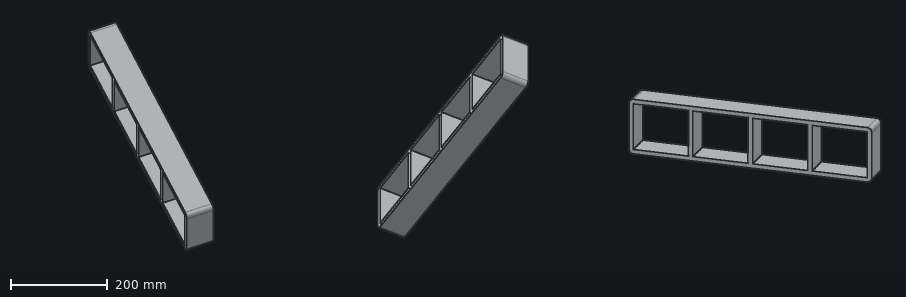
import cadquery as cq

length = 532.0
depth = 60.0
height = 121.0

wall = 10.0
corner_radius = wall

opening_count = 4
opening_width = (length - (opening_count + 1) * wall) / opening_count
opening_height = height - 2 * wall
opening_pitch = opening_width + wall


def make_body():
    """Solid block with its four long outer corners rounded along Y."""
    return cq.Workplane("XY").box(length, depth, height).edges("|Y").fillet(corner_radius)


def make_openings():
    """Row of sharp-cornered openings passing through the full depth."""
    return (
        cq.Workplane("XZ")
        .rarray(opening_pitch, 5.5, opening_count, 1)
        .rect(opening_width, opening_height)
        .extrude(depth, both=True)
    )


result = make_body().cut(make_openings())